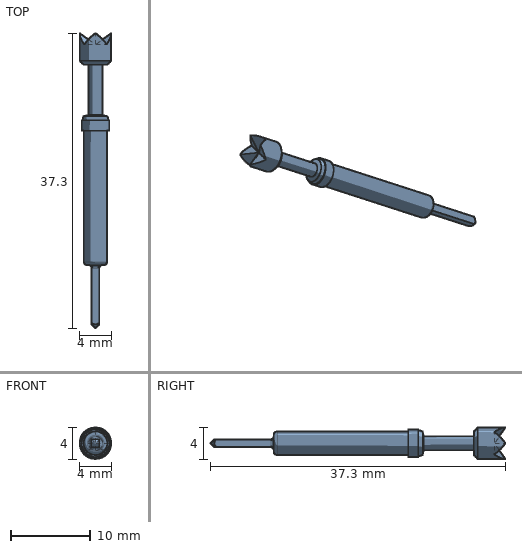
import cadquery as cq
import math

TOTAL_LENGTH = 37.3
TIP_Y = TOTAL_LENGTH / 2

HEAD_DIAMETER = 4.0
HEAD_RADIUS = HEAD_DIAMETER / 2
HEAD_LENGTH = 4.0
HEAD_CHAMFER = 0.5
TOOTH_COUNT = 4
GROOVE_DEPTH = HEAD_RADIUS * math.sin(math.pi / TOOTH_COUNT)

PLUNGER_RADIUS = 0.9
PLUNGER_LENGTH = 6.35
HEAD_BACK_Y = TIP_Y - HEAD_LENGTH

BARREL_RADIUS = 1.5
BARREL_END_FILLET = 0.45
COLLAR_RADIUS = 1.75
COLLAR_LENGTH = 1.3
LIP_RADIUS = 1.65
LIP_LENGTH = 0.67
LIP_CONE_RADIUS = 1.5
LIP_CONE_LENGTH = 0.15
LIP_Y = HEAD_BACK_Y - PLUNGER_LENGTH
COLLAR_Y = LIP_Y - LIP_LENGTH

TAIL_LENGTH = 8.0
TAIL_WIDTH = 1.0
ROOT_CORNER_RADIUS = 0.2
ROOT_FLARE = 0.37
ROOT_OVERRUN = 0.05
ROOT_LENGTH = ROOT_FLARE + ROOT_OVERRUN
BARREL_END_Y = TAIL_LENGTH - TIP_Y

EDGE_PICK_MARGIN = 0.05


def rod(radius, front_y, back_y):
    """Cylinder on the Y axis running from front_y down to back_y."""
    return cq.Workplane("XZ", origin=(0, front_y, 0)).circle(radius).extrude(front_y - back_y)


def make_head():
    """Round head with V grooves across its face, leaving four pointed teeth on the X and Z axes."""
    head = rod(HEAD_RADIUS, TIP_Y, HEAD_BACK_Y).faces("<Y").chamfer(HEAD_CHAMFER)
    groove_y = TIP_Y - GROOVE_DEPTH
    groove = (
        cq.Workplane("XY")
        .moveTo(0, groove_y)
        .lineTo(HEAD_RADIUS, groove_y + HEAD_RADIUS)
        .lineTo(-HEAD_RADIUS, groove_y + HEAD_RADIUS)
        .close()
        .extrude(HEAD_RADIUS, both=True)
    )
    groove_spacing = 360 / TOOTH_COUNT
    for index in range(TOOTH_COUNT // 2):
        angle = groove_spacing * (index + 0.5)
        head = head.cut(groove.rotate((0, 0, 0), (0, 1, 0), angle))
    return head


def make_lip():
    """Lip that runs out from the plunger as a shallow cone and rounds over to its full radius."""
    cone_y = LIP_Y - LIP_CONE_LENGTH
    round_start = (LIP_RADIUS, COLLAR_Y)
    round_end = (LIP_CONE_RADIUS, cone_y)
    round_width = LIP_RADIUS - LIP_CONE_RADIUS
    round_height = cone_y - COLLAR_Y
    round_radius = (round_width**2 + round_height**2) / (2 * round_width)
    return (
        cq.Workplane("XY")
        .moveTo(0, COLLAR_Y)
        .lineTo(*round_start)
        .radiusArc(round_end, -round_radius)
        .lineTo(PLUNGER_RADIUS, LIP_Y)
        .lineTo(0, LIP_Y)
        .close()
        .revolve(360, (0, 0, 0), (0, 1, 0))
    )


def make_barrel():
    """Barrel, collar, lip and flared tail root."""
    collar = rod(COLLAR_RADIUS, COLLAR_Y, COLLAR_Y - COLLAR_LENGTH)
    barrel = rod(BARREL_RADIUS, COLLAR_Y, BARREL_END_Y).faces("<Y").edges().fillet(BARREL_END_FILLET)
    root = (
        cq.Workplane("XZ", origin=(0, BARREL_END_Y, 0))
        .rect(TAIL_WIDTH, TAIL_WIDTH)
        .extrude(ROOT_LENGTH)
        .edges("|Y")
        .fillet(ROOT_CORNER_RADIUS)
    )
    reach = TAIL_WIDTH / 2 + EDGE_PICK_MARGIN
    root_edges = cq.selectors.BoxSelector(
        (-reach, BARREL_END_Y - EDGE_PICK_MARGIN, -reach),
        (reach, BARREL_END_Y + EDGE_PICK_MARGIN, reach),
    )
    barrel = barrel.union(root).edges(root_edges).fillet(ROOT_FLARE)
    return barrel.union(collar).union(make_lip())


def make_tail():
    """Square tail whose end is turned to a 90 degree point."""
    tail = cq.Workplane("XZ", origin=(0, BARREL_END_Y, 0)).rect(TAIL_WIDTH, TAIL_WIDTH).extrude(TAIL_LENGTH)
    point = (
        cq.Workplane("XY")
        .moveTo(0, -TIP_Y)
        .lineTo(TAIL_WIDTH, TAIL_WIDTH - TIP_Y)
        .lineTo(TAIL_WIDTH, BARREL_END_Y)
        .lineTo(0, BARREL_END_Y)
        .close()
        .revolve(360, (0, 0, 0), (0, 1, 0))
    )
    return tail.intersect(point)


plunger = rod(PLUNGER_RADIUS, HEAD_BACK_Y, LIP_Y)
result = make_barrel().union(make_tail()).union(plunger).union(make_head())